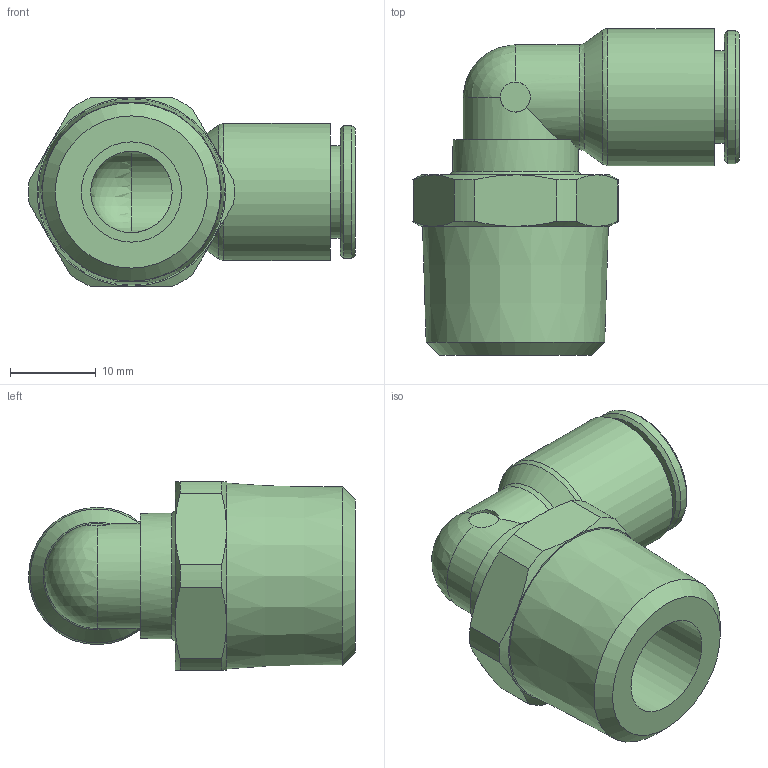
import cadquery as cq
import math


elbow_radius = 6.1
bore_radius = 4.75

badge_radius = 1.75
badge_depth = 0.5

shoulder_start = 7.77
shoulder_end = 10.44
shoulder_fillet = 1.0
socket_radius = 8.0
socket_end = 23.2
neck_radius = 5.38
release_ring_radius = 7.75
release_ring_start = 24.35
release_ring_end = 26.12
release_ring_chamfer = 0.4

collar_radius = 7.3
collar_start = 5.0
collar_flare = 0.4

hex_sides = 6
hex_across_flats = 22.0
hex_corner_radius = 12.0
hex_start = 9.08
hex_length = 6.0
hex_chamfer_angle = 30.0

thread_length = 15.03
thread_end_chamfer = 1.53
thread_root_radius = 10.83
thread_taper = 1 / 16
stud_bore_radius = 5.85

hex_flat_radius = hex_across_flats / 2
hex_chamfer_drop = (hex_corner_radius - hex_flat_radius) * math.tan(math.radians(hex_chamfer_angle))
hex_end = hex_start + hex_length
thread_end = hex_end + thread_length
thread_chamfer_start = thread_end - thread_end_chamfer
thread_tip_radius = thread_root_radius - (thread_chamfer_start - hex_end) * thread_taper / 2


def cylinder_x(radius, start, end):
    """Cylinder along the socket axis between two X positions."""
    return cq.Workplane("YZ", origin=(start, 0, 0)).circle(radius).extrude(end - start)


def cylinder_y(radius, start, end):
    """Cylinder along the stud axis between two distances toward -Y."""
    return cq.Workplane("XZ", origin=(0, -start, 0)).circle(radius).extrude(end - start)


def revolve_stud(profile):
    """Revolve (radius, distance toward -Y) points about the Y axis."""
    points = [(radius, -distance) for radius, distance in profile]
    return cq.Workplane("XY").polyline(points).close().revolve(360, (0, 0, 0), (0, 1, 0))


def make_elbow():
    leg_y = cylinder_y(elbow_radius, 0, hex_start)
    leg_x = cylinder_x(elbow_radius, 0, shoulder_start)
    return cq.Workplane("XY").sphere(elbow_radius).union(leg_y).union(leg_x)


def make_socket():
    tube = (
        cq.Workplane("XY")
        .moveTo(0, 0)
        .lineTo(0, elbow_radius)
        .lineTo(shoulder_start, elbow_radius)
        .lineTo(shoulder_end, socket_radius)
        .lineTo(socket_end, socket_radius)
        .lineTo(socket_end, 0)
        .close()
        .revolve(360, (0, 0, 0), (1, 0, 0))
    )
    shoulder_region = cq.selectors.BoxSelector(
        (shoulder_start - shoulder_fillet, -socket_radius, -socket_radius),
        (shoulder_end + shoulder_fillet, socket_radius, socket_radius),
    )
    tube = tube.edges("%CIRCLE").edges(shoulder_region).fillet(shoulder_fillet)
    neck = cylinder_x(neck_radius, socket_end, release_ring_start)
    ring = cylinder_x(release_ring_radius, release_ring_start, release_ring_end)
    ring = ring.edges("%CIRCLE").chamfer(release_ring_chamfer)
    return tube.union(neck).union(ring)


def make_collar():
    return revolve_stud([
        (0, collar_start),
        (collar_radius, collar_start),
        (collar_radius, hex_start - collar_flare),
        (collar_radius + collar_flare, hex_start),
        (0, hex_start),
    ])


def make_hexagon():
    point_radius = hex_flat_radius / math.cos(math.pi / hex_sides)
    corners = []
    for index in range(hex_sides):
        angle = index * 2 * math.pi / hex_sides
        corners.append((point_radius * math.cos(angle), point_radius * math.sin(angle)))
    hexagon = cq.Workplane("XZ", origin=(0, -hex_start, 0)).polyline(corners).close().extrude(hex_length)
    corner_envelope = revolve_stud([
        (0, hex_start),
        (hex_flat_radius, hex_start),
        (hex_corner_radius, hex_start + hex_chamfer_drop),
        (hex_corner_radius, hex_end - hex_chamfer_drop),
        (hex_flat_radius, hex_end),
        (0, hex_end),
    ])
    return hexagon.intersect(corner_envelope)


def make_thread_body():
    return revolve_stud([
        (0, hex_end),
        (thread_root_radius, hex_end),
        (thread_tip_radius, thread_chamfer_start),
        (thread_tip_radius - thread_end_chamfer, thread_end),
        (0, thread_end),
    ])


def make_bores():
    corner = cq.Workplane("XY").sphere(bore_radius)
    socket_bore = cylinder_x(bore_radius, 0, release_ring_end)
    elbow_bore = cylinder_y(bore_radius, 0, hex_start)
    stud_bore = cylinder_y(stud_bore_radius, hex_start, thread_end)
    return corner.union(socket_bore).union(elbow_bore).union(stud_bore)


def make_badge_recess():
    floor = elbow_radius - badge_depth
    return cq.Workplane("XY", origin=(0, 0, floor)).circle(badge_radius).extrude(badge_depth)


body = make_elbow().union(make_socket()).union(make_collar())
body = body.union(make_hexagon()).union(make_thread_body())
result = body.cut(make_bores()).cut(make_badge_recess())